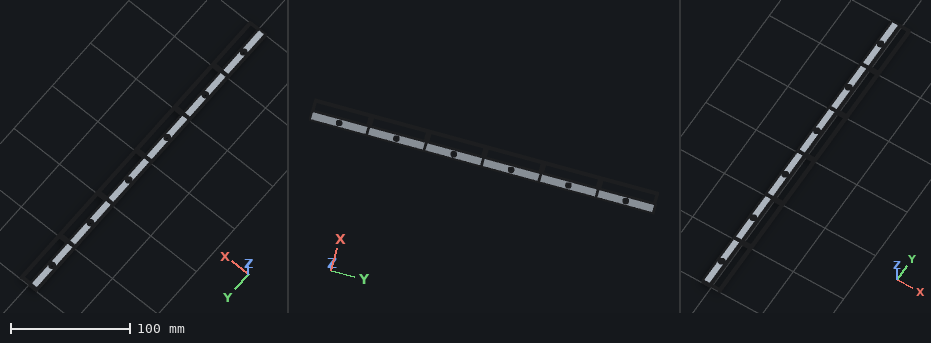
import cadquery as cq

strip_length = 300.0
strip_width = 17.7
frame_count = 6
pitch = strip_length / frame_count

edge_chamfer = 0.55
block_land_width = 7.0
block_width = block_land_width + 2 * edge_chamfer
lip_width = 1.2
bar_width = 1.2
bar_thickness = 1.2
bar_underside = 2.52
frame_height = bar_underside + bar_thickness
window_width = strip_width - block_width - lip_width

ledge_length = 0.8
ledge_height = 0.5
frame_length = pitch - ledge_length
window_length = frame_length - 2 * bar_width

hole_diameter = 4.0
countersink_diameter = 5.0
countersink_angle = 90.0
hole_x = block_width / 2
hole_y = frame_length / 2


def corner_box(size_x, size_y, size_z, corner):
    """Box whose lowest X, Y, Z corner sits at the given point."""
    return cq.Workplane("XY", origin=corner).box(size_x, size_y, size_z, centered=False)


def make_body():
    """Full-size bar opened up between the block and the lip, leaving two end bars."""
    body = corner_box(strip_width, frame_length, frame_height, (0, 0, 0))
    underpass = corner_box(window_width, frame_length, bar_underside, (block_width, 0, 0))
    window = corner_box(window_width, window_length, frame_height, (block_width, bar_width, 0))
    return body.cut(underpass).cut(window)


def drill_screw_hole(body):
    """Drill the block through, with a 90 degree countersink at the top."""
    top = body.faces(">Z").workplane(origin=(hole_x, hole_y, frame_height))
    return top.cskHole(hole_diameter, countersink_diameter, countersink_angle)


def make_ledge():
    """Spacer ledge at the foot of the block."""
    return corner_box(block_width, ledge_length, ledge_height, (0, frame_length, 0))


def make_frame(index):
    """One frame, chamfered along every top edge, at its place in the strip."""
    frame = make_body().faces(">Z").edges().chamfer(edge_chamfer)
    frame = drill_screw_hole(frame)
    return frame.union(make_ledge()).translate((0, index * pitch, 0))


frames = [make_frame(index) for index in range(frame_count)]
result = cq.Compound.makeCompound([frame.val() for frame in frames])